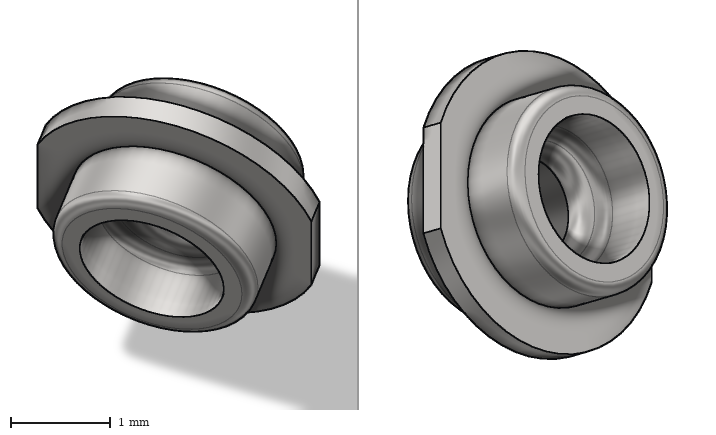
import cadquery as cq

flange_diameter = 3.1
flange_width = 2.9
flange_thickness = 0.255
body_diameter = 2.158
body_length = 1.65
rim_fillet = 0.127
counterbore_diameter = 1.525
counterbore_fillet = 0.127
hole_diameter = 0.96

lip_radius = (counterbore_diameter - hole_diameter) / 2 - counterbore_fillet
web_thickness = 2 * lip_radius
counterbore_depth = (body_length - web_thickness) / 2


def cylinder(diameter, length):
    """Cylinder along Y, centred on the origin."""
    return cq.Workplane("XZ").circle(diameter / 2).extrude(length / 2, both=True)


def counterbore_cutter(side):
    """Counterbore with a rounded floor corner; side is -1 for the -Y end, +1 for the +Y end."""
    cutter = (
        cq.Workplane("XZ", origin=(0, side * body_length / 2, 0))
        .circle(counterbore_diameter / 2)
        .extrude(side * counterbore_depth)
    )
    floor_edge = "<Y" if side > 0 else ">Y"
    return cutter.faces(floor_edge).edges().fillet(counterbore_fillet)


def web_hole_cutter():
    """Through hole whose wall is the half-round lip of the web."""
    hole_radius = hole_diameter / 2
    lip_outer_radius = hole_radius + lip_radius
    return (
        cq.Workplane("XY")
        .moveTo(0, -lip_radius)
        .lineTo(lip_outer_radius, -lip_radius)
        .threePointArc((hole_radius, 0), (lip_outer_radius, lip_radius))
        .lineTo(0, lip_radius)
        .close()
        .revolve(360, (0, 0, 0), (0, 1, 0))
    )


body = cylinder(body_diameter, body_length).faces("<Y or >Y").edges().fillet(rim_fillet)

flange = cylinder(flange_diameter, flange_thickness).intersect(
    cq.Workplane("XY").box(flange_width, flange_thickness, flange_diameter)
)

result = body.union(flange)
for end in (-1, 1):
    result = result.cut(counterbore_cutter(end))
result = result.cut(web_hole_cutter())